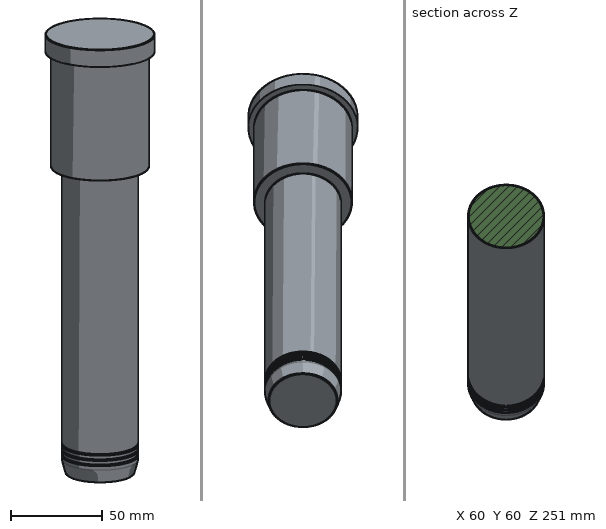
import cadquery as cq

total_length = 251.0

head_diameter = 60.0
head_height = 10.0
head_edge_chamfer = 0.5
head_bottom = total_length - head_height

body_diameter = 54.0
body_height = 66.0
body_edge_chamfer = 0.5
body_bottom = head_bottom - body_height

shank_diameter = 42.0

undercut_width = 0.8
undercut_depth = 0.5

groove_count = 3
groove_width = 1.0
groove_depth = 0.5
groove_pitch = 3.0
lowest_groove_bottom = 10.0

tip_height = 8.0
tip_end_diameter = 37.6
tip_bulge = 0.13
tip_edge_chamfer = 0.5


def cylinder(diameter, bottom, top):
    """Upright cylinder about Z between two heights."""
    return cq.Workplane("XY").workplane(offset=bottom).circle(diameter / 2).extrude(top - bottom)


def make_head():
    head = cylinder(head_diameter, head_bottom, total_length)
    return head.faces(">Z").edges().chamfer(head_edge_chamfer)


def make_body():
    body = cylinder(body_diameter, body_bottom, head_bottom)
    return body.faces("<Z").edges().chamfer(body_edge_chamfer)


def make_shank():
    return cylinder(shank_diameter, tip_height, body_bottom)


def make_tip():
    """Tip narrowing downwards along a slightly bulging arc."""
    shank_radius = shank_diameter / 2
    end_radius = tip_end_diameter / 2
    middle_radius = (shank_radius + end_radius) / 2 + tip_bulge
    tip = (
        cq.Workplane("XZ")
        .lineTo(end_radius, 0)
        .threePointArc((middle_radius, tip_height / 2), (shank_radius, tip_height))
        .lineTo(0, tip_height)
        .close()
        .revolve(360, (0, 0, 0), (0, 1, 0))
    )
    return tip.faces("<Z").edges().chamfer(tip_edge_chamfer)


def make_ring(surface_diameter, depth, bottom, width):
    """Ring to cut away: reaches from a cylinder's surface inwards by the depth."""
    top = bottom + width
    return cylinder(surface_diameter, bottom, top).cut(cylinder(surface_diameter - 2 * depth, bottom, top))


result = make_head().union(make_body()).union(make_shank()).union(make_tip())

for diameter, shoulder in ((body_diameter, head_bottom), (shank_diameter, body_bottom)):
    result = result.cut(make_ring(diameter, undercut_depth, shoulder - undercut_width, undercut_width))

for index in range(groove_count):
    groove_bottom = lowest_groove_bottom + index * groove_pitch
    result = result.cut(make_ring(shank_diameter, groove_depth, groove_bottom, groove_width))